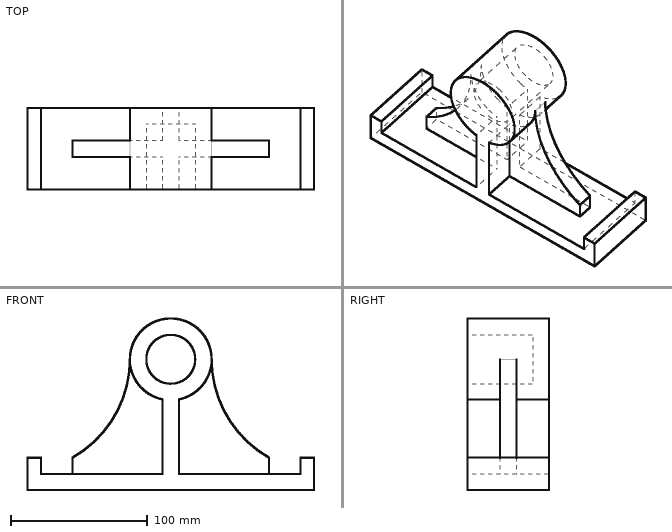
import cadquery as cq
import math

length = 210.0
depth = 60.0
height = 126.0
plate_thickness = 12.0
lip_width = 10.0
lip_top = 2 * plate_thickness

boss_diameter = depth
boss_radius = boss_diameter / 2
boss_center_z = height - boss_radius
bore_diameter = 36.0
bore_depth = 48.0

rib_thickness = plate_thickness
web_half_length = 72.0
web_end_top = lip_top


def make_base():
    plate = cq.Workplane("XY").box(length, depth, lip_top, centered=(True, True, False))
    channel = (
        cq.Workplane("XY")
        .workplane(offset=plate_thickness)
        .rect(length - 2 * lip_width, depth)
        .extrude(lip_top - plate_thickness)
    )
    return plate.cut(channel)


def make_web():
    run = web_half_length - boss_radius
    drop = boss_center_z - web_end_top
    flank_radius = (run**2 + drop**2) / (2 * run)
    half_angle = math.asin(drop / flank_radius) / 2
    middle_x = boss_radius + flank_radius * (1 - math.cos(half_angle))
    middle_z = boss_center_z - flank_radius * math.sin(half_angle)
    return (
        cq.Workplane("XZ")
        .moveTo(-web_half_length, 0)
        .lineTo(web_half_length, 0)
        .lineTo(web_half_length, web_end_top)
        .threePointArc((middle_x, middle_z), (boss_radius, boss_center_z))
        .lineTo(-boss_radius, boss_center_z)
        .threePointArc((-middle_x, middle_z), (-web_half_length, web_end_top))
        .close()
        .extrude(rib_thickness / 2, both=True)
    )


def make_cross_rib():
    return cq.Workplane("XY").box(
        rib_thickness, depth, boss_center_z, centered=(True, True, False)
    )


def make_boss():
    return (
        cq.Workplane("XZ", origin=(0, -depth / 2, boss_center_z))
        .circle(boss_radius)
        .extrude(-depth)
    )


def make_bore():
    return (
        cq.Workplane("XZ", origin=(0, -depth / 2, boss_center_z))
        .circle(bore_diameter / 2)
        .extrude(-bore_depth)
    )


body = make_base().union(make_web()).union(make_cross_rib()).union(make_boss())
result = body.cut(make_bore())